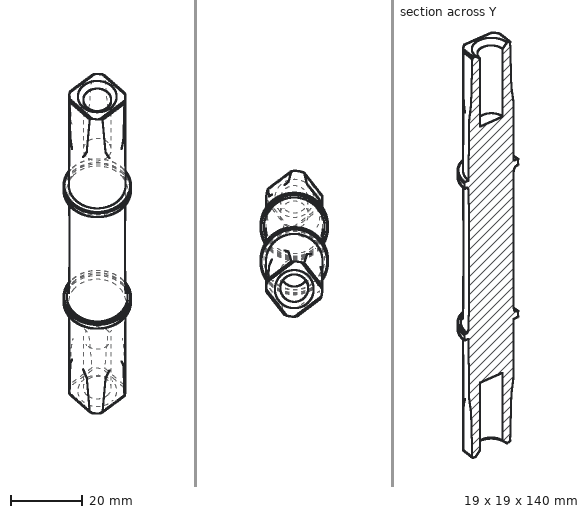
import cadquery as cq

LENGTH = 140.0
HALF_LENGTH = LENGTH / 2

SEAT_RADIUS = 8.0
RELIEF_DEPTH = 0.07
END_RADIUS = SEAT_RADIUS - RELIEF_DEPTH
SHAFT_RADIUS = 8.0
WAIST_RADIUS = 7.8
SEAT_END = 36.3
RELIEF_LENGTH = 0.8

COLLAR_RADIUS = 9.5
COLLAR_OUTER_FACE = 27.7
COLLAR_THICKNESS = 2.4
COLLAR_CHAMFER = 0.3
SHOULDER_RADIUS = 8.5
SHOULDER_LENGTH = 1.5

TIP_HALF_WIDTH = 6.7
ROOT_HALF_WIDTH = 7.1
SQUARE_LENGTH = 16.2
RUNOUT_LENGTH = 5.9
TIP_CHAMFER = 0.4

BORE_RADIUS = 3.9
BORE_DEPTH = 25.2
COUNTERSINK_RADIUS = 5.5
COUNTERSINK_DEPTH = COUNTERSINK_RADIUS - BORE_RADIUS


def tapered_square(lower_height, lower_half, upper_height, upper_half):
    """Square frustum centred on Z."""
    return (
        cq.Workplane("XY").workplane(offset=lower_height)
        .rect(2 * lower_half, 2 * lower_half)
        .workplane(offset=upper_height - lower_height)
        .rect(2 * upper_half, 2 * upper_half)
        .loft(ruled=True)
    )


def round_half():
    """Upper half of the turned body with its collar."""
    inner_face = COLLAR_OUTER_FACE - COLLAR_THICKNESS
    rim_radius = COLLAR_RADIUS - COLLAR_CHAMFER
    return (
        cq.Workplane("XZ")
        .lineTo(WAIST_RADIUS, 0)
        .lineTo(SHAFT_RADIUS, inner_face - SHOULDER_LENGTH)
        .tangentArcPoint((SHOULDER_RADIUS, inner_face), relative=False)
        .lineTo(rim_radius, inner_face)
        .lineTo(COLLAR_RADIUS, inner_face + COLLAR_CHAMFER)
        .lineTo(COLLAR_RADIUS, COLLAR_OUTER_FACE - COLLAR_CHAMFER)
        .lineTo(rim_radius, COLLAR_OUTER_FACE)
        .lineTo(SEAT_RADIUS, COLLAR_OUTER_FACE)
        .lineTo(SEAT_RADIUS, SEAT_END)
        .lineTo(END_RADIUS, SEAT_END + RELIEF_LENGTH)
        .lineTo(END_RADIUS, HALF_LENGTH)
        .lineTo(0, HALF_LENGTH)
        .close()
        .revolve(360, (0, 0), (0, 1))
    )


def drive_envelope():
    """Stacked frustums that bound the flats of the square drive."""
    root = HALF_LENGTH - SQUARE_LENGTH
    runout_end = root - RUNOUT_LENGTH
    chamfer_start = HALF_LENGTH - TIP_CHAMFER
    runout = tapered_square(runout_end, END_RADIUS, root, ROOT_HALF_WIDTH)
    square = tapered_square(root, ROOT_HALF_WIDTH, chamfer_start, TIP_HALF_WIDTH)
    tip = tapered_square(chamfer_start, TIP_HALF_WIDTH, HALF_LENGTH, TIP_HALF_WIDTH - TIP_CHAMFER)
    clearance = 2 * COLLAR_RADIUS
    body = cq.Workplane("XY").rect(clearance, clearance).extrude(runout_end)
    return body.union(runout).union(square).union(tip)


def countersunk_bore():
    """Blind hole in the end face with a conical mouth."""
    floor = HALF_LENGTH - BORE_DEPTH
    profile = [
        (0, floor),
        (BORE_RADIUS, floor),
        (BORE_RADIUS, HALF_LENGTH - COUNTERSINK_DEPTH),
        (COUNTERSINK_RADIUS, HALF_LENGTH),
        (0, HALF_LENGTH),
    ]
    return cq.Workplane("XZ").polyline(profile).close().revolve(360, (0, 0), (0, 1))


upper_half = round_half().intersect(drive_envelope()).cut(countersunk_bore())
lower_half = upper_half.mirror("XY")
result = upper_half.union(lower_half).translate((0, 0, HALF_LENGTH))